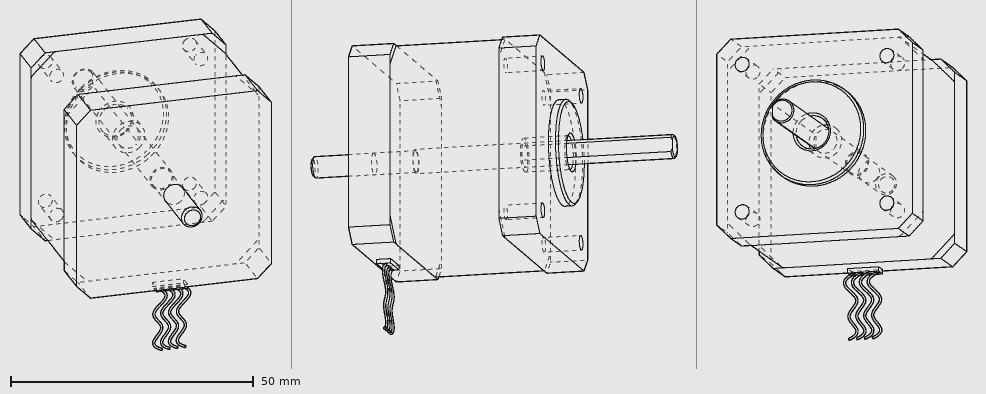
import cadquery as cq


frame_side = 42.0
frame_length = 40.0
front_cap_length = 7.9
rear_cap_length = 8.85
stator_length = frame_length - front_cap_length - rear_cap_length
rear_cap_start = frame_length - rear_cap_length
cap_corner_chamfer = 3.0
stator_corner_chamfer = 5.0
stator_edge_radius = 1.0

boss_diameter = 22.0
boss_height = 2.0
boss_chamfer = 0.5
clearance_diameter = 7.0
clearance_chamfer = 0.5

mount_hole_spacing = 31.0
mount_hole_diameter = 3.0

shaft_diameter = 5.0
shaft_front_reach = 24.0
shaft_flat_height = 2.0
shaft_front_chamfer = 0.3
rear_shaft_diameter = 4.5
rear_shaft_reach = 13.0
rear_shaft_chamfer = 0.5

connector_length = 3.0
connector_width = 6.7
connector_height = 0.9
connector_rear_margin = 1.4
connector_center_x = frame_length - connector_rear_margin - connector_length / 2
wire_count = 4
wire_spacing = 1.7
wire_diameter = 0.5
wire_offset = 0.2
wire_center_x = connector_center_x - wire_offset
wire_course = [(-0.6, 0.7), (1.6, 3.3), (-0.85, 6.7), (0.85, 9.8), (-0.85, 12.8), (0.85, 14.6)]


def plane_at(x):
    """Workplane facing +X at the given X; its local axes are Y and Z."""
    return cq.Workplane("YZ", origin=(x, 0, 0))


def square_block(start, length, corner_chamfer):
    """Square frame section with its four long edges chamfered."""
    block = plane_at(start).rect(frame_side, frame_side).extrude(length)
    return block.edges("|X").chamfer(corner_chamfer)


def make_front_cap():
    """Front end cap with the pilot boss, shaft clearance and mounting holes."""
    boss = plane_at(0).circle(boss_diameter / 2).extrude(-boss_height)
    boss = boss.faces("<X").chamfer(boss_chamfer)
    cap = square_block(0, front_cap_length, cap_corner_chamfer).union(boss)

    clearance_length = boss_height + front_cap_length
    clearance = plane_at(-boss_height).circle(clearance_diameter / 2).extrude(clearance_length)
    countersink_radius = clearance_diameter / 2 + clearance_chamfer
    countersink = (
        plane_at(-boss_height)
        .circle(countersink_radius)
        .workplane(offset=clearance_chamfer)
        .circle(clearance_diameter / 2)
        .loft()
    )
    mount_holes = (
        plane_at(0)
        .rect(mount_hole_spacing, mount_hole_spacing, forConstruction=True)
        .vertices()
        .circle(mount_hole_diameter / 2)
        .extrude(front_cap_length)
    )
    return cap.cut(clearance).cut(countersink).cut(mount_holes)


def make_stator():
    """Laminated middle section with softened corner chamfers and a bore for the shaft."""
    stator = square_block(front_cap_length, stator_length, stator_corner_chamfer)
    stator = stator.edges("|X").fillet(stator_edge_radius)
    bore = plane_at(front_cap_length).circle(shaft_diameter / 2).extrude(stator_length)
    return stator.cut(bore)


def make_rear_cap():
    """Rear end cap with a bore for the thinner end of the shaft."""
    cap = square_block(rear_cap_start, rear_cap_length, cap_corner_chamfer)
    bore = plane_at(rear_cap_start).circle(rear_shaft_diameter / 2).extrude(rear_cap_length)
    return cap.cut(bore)


def make_shaft():
    """Stepped shaft; the drive end has a flat on +Y that stops at the stator."""
    thick_length = shaft_front_reach + rear_cap_start
    shaft = plane_at(-shaft_front_reach).circle(shaft_diameter / 2).extrude(thick_length)
    shaft = shaft.faces("<X").chamfer(shaft_front_chamfer)

    flat_length = shaft_front_reach + front_cap_length
    flat_cutter = cq.Workplane("XY").box(
        flat_length, shaft_diameter, shaft_diameter, centered=(False, False, True)
    )
    shaft = shaft.cut(flat_cutter.translate((-shaft_front_reach, shaft_flat_height, 0)))

    thin_length = rear_cap_length + rear_shaft_reach
    thin_end = plane_at(rear_cap_start).circle(rear_shaft_diameter / 2).extrude(thin_length)
    thin_end = thin_end.faces(">X").chamfer(rear_shaft_chamfer)
    return shaft.union(thin_end)


def make_wire(row_y):
    """One wavy round wire at the given place in the row."""
    points = [
        cq.Vector(wire_center_x, row_y + shift, -frame_side / 2 - drop)
        for shift, drop in wire_course
    ]
    path = cq.Edge.makeSpline(points)
    section = cq.Workplane(cq.Plane(points[0], xDir=(1, 0, 0), normal=path.tangentAt(0)))
    return section.circle(wire_diameter / 2).sweep(cq.Workplane(obj=path))


def make_connector():
    """Connector block under the rear cap, in one piece with its row of wires."""
    connector = cq.Workplane("XY").box(connector_length, connector_width, connector_height)
    block_center_z = -frame_side / 2 - connector_height / 2
    connector = connector.translate((connector_center_x, 0, block_center_z))
    for index in range(wire_count):
        row_y = (index - (wire_count - 1) / 2) * wire_spacing
        connector = connector.union(make_wire(row_y))
    return connector


front_cap = make_front_cap()
stator = make_stator()
rear_cap = make_rear_cap()
shaft = make_shaft()
connector = make_connector()

result = cq.Compound.makeCompound(
    [body.solids().val() for body in (front_cap, stator, rear_cap, shaft, connector)]
)